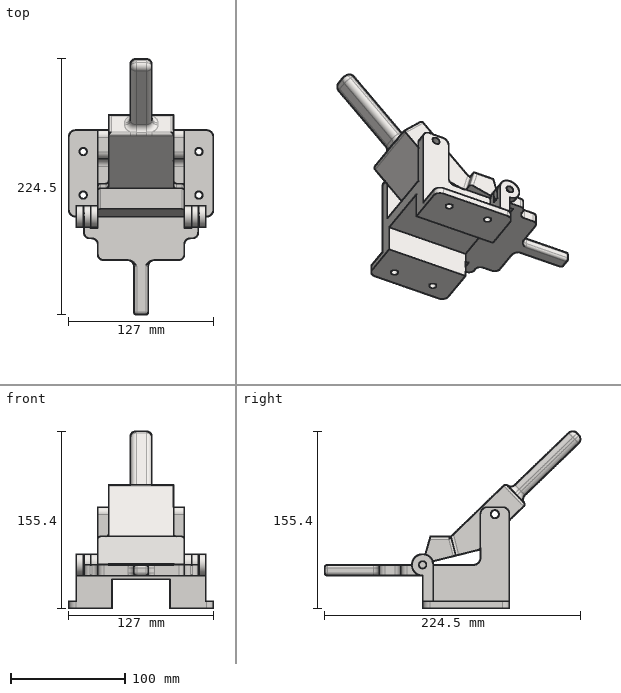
import cadquery as cq
import math


base_depth = 76.0
block_width = 76.0
deck_height = 38.2
flange_width = 127.0
flange_thickness = 6.3
flange_corner = 6.3
screw_hole = 6.3
screw_span_x = 101.5
screw_span_y = 38.2
tunnel_width = 50.7
tunnel_height = 25.4

upright_depth = 25.4
upright_height = 89.0
upright_fillet = 6.3
pivot_hole = 7.0
pivot_y = base_depth - upright_depth / 2
pivot_z = 82.6

lug_radius = 9.5
lug_length = 6.3
hinge_hole = 6.5
hinge_clearance = 0.5
leg_width = block_width + 6 * lug_length

flap_thickness = 9.5
flap_front = 38.2
flap_shoulder = 19.0
flap_width = block_width
flap_corner = 5.2
flap_end = 86.0
tongue_width = 12.8
tongue_round = 2.5
flap_bottom = deck_height - flap_thickness
knuckle_outer = block_width / 2 + 2 * lug_length - hinge_clearance

hammer_tilt = 44.0
body_width = 57.0
body_thickness = 25.4
body_back = 25.4
body_front = 76.0
face_angle = 30.0
head_width = block_width
head_start = 41.3
head_top_angle = 45.0
head_top_length = 18.5
hammer_round = 2.5
handle_width = 19.0
handle_thickness = 12.8
handle_length = 75.9
handle_round = 5.2


def centred_box(width, depth, height, y_front, z_bottom):
    return cq.Workplane("XY").box(width, depth, height, centered=(True, False, False)).translate(
        (0, y_front, z_bottom)
    )


def hinge_cylinder(x_start, length, radius):
    """A cylinder on the hinge axis, running toward +X."""
    return (
        cq.Workplane("YZ", origin=(x_start, 0, 0))
        .center(0, deck_height)
        .circle(radius)
        .extrude(length)
    )


def both_sides(half):
    return half.union(half.mirror("YZ"))


def make_base():
    flange = (
        centred_box(flange_width, base_depth, flange_thickness, 0, 0)
        .edges("|Z")
        .fillet(flange_corner)
        .faces(">Z")
        .workplane(origin=(0, base_depth / 2, 0))
        .rect(screw_span_x, screw_span_y, forConstruction=True)
        .vertices()
        .hole(screw_hole)
    )

    upright_front = base_depth - upright_depth
    block = (
        cq.Workplane("YZ")
        .moveTo(0, 0)
        .lineTo(base_depth, 0)
        .lineTo(base_depth, upright_height)
        .lineTo(upright_front, upright_height)
        .lineTo(upright_front, deck_height)
        .lineTo(0, deck_height)
        .close()
        .extrude(block_width / 2, both=True)
        .edges("|X and (>Z or (not (<Z or <Y or >Y)))")
        .fillet(upright_fillet)
    )
    hammer_gap = centred_box(body_width, upright_depth + upright_fillet, upright_height,
                             upright_front - upright_fillet, deck_height)
    flap_seat = centred_box(block_width, lug_radius, flap_thickness, 0, flap_bottom)
    legs = centred_box(leg_width, lug_radius, flap_bottom, 0, 0)
    base = flange.union(block.cut(hammer_gap).cut(flap_seat)).union(legs)

    inner_start = block_width / 2
    outer_start = inner_start + 2 * lug_length
    for start in (inner_start, outer_start):
        post = cq.Workplane("XY").box(lug_length, lug_radius, flap_thickness, centered=False)
        post = post.translate((start, 0, flap_bottom))
        lug = hinge_cylinder(start, lug_length, lug_radius).union(post)
        base = base.union(both_sides(lug))
    base = base.cut(both_sides(hinge_cylinder(outer_start, lug_length, hinge_hole / 2)))

    tunnel = centred_box(tunnel_width, base_depth, tunnel_height, 0, 0)
    pivot_bore = (
        cq.Workplane("YZ")
        .center(pivot_y, pivot_z)
        .circle(pivot_hole / 2)
        .extrude(block_width / 2, both=True)
    )
    return base.cut(tunnel).cut(pivot_bore)


def flap_zone(x_reach, y_from, y_to):
    """Selects what lies on the flap between two Y values, within x_reach of the plane of symmetry."""
    return cq.selectors.BoxSelector(
        (-x_reach, y_from, flap_bottom - flap_thickness),
        (x_reach, y_to, deck_height + flap_thickness),
    )


def make_tongue():
    """The flap's tongue, whose flared root is cut off flush with the flap's two faces."""
    overlap = flap_corner
    flare = 3 * flap_corner
    wall = centred_box(
        tongue_width + 2 * flare, overlap, flap_thickness + 2 * flare, -flap_front, flap_bottom - flare
    )
    tongue = (
        centred_box(tongue_width, flap_end - flap_front, flap_thickness, -flap_end, flap_bottom)
        .edges("not >Y")
        .fillet(tongue_round)
        .union(wall)
    )
    root = flap_zone(tongue_width, -flap_front - tongue_round / 2, -flap_front + tongue_round / 2)
    tongue = tongue.edges(root).fillet(flap_corner)
    slab = centred_box(flap_width, flap_end, flap_thickness, -flap_end, flap_bottom)
    return tongue.intersect(slab)


def make_flap():
    plate = centred_box(flap_width, flap_front + lug_radius, flap_thickness, -flap_front, flap_bottom)
    shoulder = centred_box(2 * knuckle_outer, flap_shoulder, flap_thickness, -flap_shoulder, flap_bottom)
    flap = plate.union(shoulder)
    stepped_outline = flap_zone(flap_width, -flap_front - flap_corner, -flap_shoulder + flap_corner)
    flap = flap.edges("|Z").edges(stepped_outline).fillet(flap_corner)

    flap = flap.union(make_tongue())

    inner_start = block_width / 2
    notch_length = 2 * lug_radius + hinge_clearance
    notch = cq.Workplane("XY").box(lug_length, notch_length, flap_thickness, centered=False)
    notch = notch.translate((inner_start, -lug_radius - hinge_clearance, flap_bottom))
    knuckle_start = inner_start + lug_length
    knuckle_length = knuckle_outer - knuckle_start
    knuckle = hinge_cylinder(knuckle_start, knuckle_length, lug_radius)
    bore = hinge_cylinder(knuckle_start, knuckle_length, hinge_hole / 2)
    return flap.cut(both_sides(notch)).union(both_sides(knuckle)).cut(both_sides(bore))


def make_hammer():
    tilt = math.radians(hammer_tilt)
    plane = cq.Plane(
        origin=(0, pivot_y, pivot_z),
        xDir=(0, -math.cos(tilt), -math.sin(tilt)),
        normal=(-1, 0, 0),
    )
    top = body_thickness / 2
    face = math.radians(face_angle)
    slope = math.radians(head_top_angle)

    body = (
        cq.Workplane("XY")
        .moveTo(-body_back, top)
        .lineTo(body_front, top)
        .lineTo(body_front - body_thickness / math.tan(face), -top)
        .lineTo(-body_back, -top)
        .close()
        .extrude(body_width / 2, both=True)
    )

    head_base = (body_front - head_start) * math.cos(face)
    head_top_x = head_start + head_top_length * math.cos(slope)
    head_front_drop = (body_front - head_top_x) * math.tan(face)
    head_foot_x = body_front - head_base * math.cos(face)
    head = (
        cq.Workplane("XY")
        .moveTo(head_start, top)
        .lineTo(head_top_x, top + head_front_drop)
        .lineTo(body_front, top)
        .lineTo(head_foot_x, top - head_base * math.sin(face))
        .close()
        .extrude(head_width / 2, both=True)
        .edges("#Z")
        .edges(">>X[0] or >>X[1]")
        .fillet(hammer_round)
    )
    handle = (
        cq.Workplane("YZ", origin=(-body_back, 0, 0))
        .rect(handle_thickness, handle_width)
        .extrude(-handle_length)
        .edges("|X")
        .fillet(handle_round)
        .faces("<X")
        .edges()
        .fillet(handle_round)
    )
    hammer = body.union(head)
    neck_reach = (body_width + hammer_round) / 2
    neck = cq.selectors.BoxSelector(
        (head_start, -top, -neck_reach),
        (head_foot_x, top, neck_reach),
    )
    hammer = hammer.edges("#Z").edges(neck).fillet(hammer_round)

    hammer = hammer.union(handle)
    root_reach = (handle_thickness + hammer_round) / 2
    handle_root = cq.selectors.BoxSelector(
        (-body_back - hammer_round / 2, -root_reach, -handle_width),
        (-body_back + hammer_round / 2, root_reach, handle_width),
    )
    hammer = hammer.edges(handle_root).fillet(handle_round)
    rear_centre = cq.selectors.NearestToPointSelector((-body_back, 0, 0))
    rear_face = hammer.faces(rear_centre).val()
    hammer = hammer.newObject(rear_face.outerWire().Edges()).fillet(hammer_round)

    bore = cq.Workplane("XY").circle(pivot_hole / 2).extrude(body_width / 2, both=True)
    return cq.Workplane(obj=hammer.cut(bore).val().located(cq.Location(plane)))


base = make_base()
flap = make_flap()
hammer = make_hammer()
result = cq.Compound.makeCompound([base.val(), flap.val(), hammer.val()])